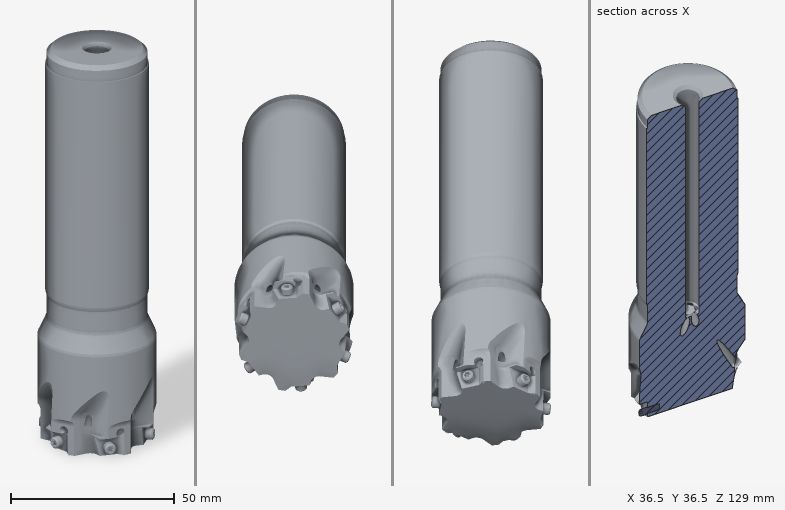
import cadquery as cq
import math

total_length = 129.0
tooth_count = 6
first_tooth_angle = 45.0

head_diameter = 36.5
head_radius = head_diameter / 2
shank_radius = 15.9
neck_radius = 15.5
top_radius = 14.0
top_chamfer_height = 1.3
end_land_height = 4.9
cone_base_height = 34.4
cone_top_height = 40.6
neck_top_height = 47.8
shank_base_height = 49.3
shank_base_step = 0.1
neck_taper_height = 48.6
cone_blend_radius = 2.0

bore_radius = 3.6
bore_mouth_radius = 4.6
bore_floor_height = 37.4

channel_radius = 1.2
channel_start_radius = 1.9
channel_exit_radius = 15.1
channel_exit_height = 9.8
channel_angle = -26.0

flute_floor_angle = -52.0
flute_floor_distance = 12.5
flute_wall_angle = 12.0
flute_wall_distance = 10.8
flute_fold_height = 13.5
flute_floor_tilt = 2.6
flute_wall_slope = 57.5
flute_fold_radius = 4.5
flute_root_radius = 3.9

gullet_height = 7.2
gullet_floor_angle = -70.0
gullet_floor_distance = 10.3
gullet_floor_tilt = 14.0
gullet_root_radius = 2.6

land_angle = 14.0
land_distance = 17.3
land_height = 12.5
land_fillet = 2.6
land_half_width = 7.7

base_height = 0.4
tip_distance = 16.3
tip_offset = 3.9
tip_radius = 0.1

seat_distance = 15.5
seat_height = 6.8
seat_width = 2.0
seat_step_slope = 56.0
seat_lead = 7.7
corner_relief_radius = 1.4
corner_relief_offset = 2.6
corner_relief_height = 8.0

screw_height = 3.2
screw_offset = -0.8
screw_head_radius = 1.8
screw_tip_radius = 18.2
screw_shank_radius = 1.2
screw_shank_length = 3.9
screw_edge_chamfer = 0.4
socket_radius = 0.8
socket_lobe_radius = 0.32
socket_depth = 1.0
socket_lobe_count = 6

clearance = 1.3
reach = 51.6


def facing_frame(angle, distance, height=0.0):
    """Plane whose normal points radially at the angle; local x runs along the rim, local y up."""
    a = math.radians(angle)
    normal = (math.cos(a), math.sin(a), 0)
    rim_direction = (-math.sin(a), math.cos(a), 0)
    origin = (distance * normal[0], distance * normal[1], height)
    return cq.Plane(origin=origin, xDir=rim_direction, normal=normal)


def turned_body():
    end_land_base = total_length - end_land_height
    chamfer_base = total_length - top_chamfer_height
    blank = (
        cq.Workplane("XZ")
        .moveTo(0, base_height)
        .lineTo(head_radius, base_height)
        .lineTo(head_radius, cone_base_height)
        .lineTo(neck_radius, cone_top_height)
        .lineTo(neck_radius, neck_top_height)
        .lineTo(shank_radius - shank_base_step, neck_taper_height)
        .lineTo(shank_radius, shank_base_height)
        .lineTo(shank_radius, end_land_base)
        .lineTo(neck_radius, end_land_base)
        .lineTo(neck_radius, chamfer_base)
        .lineTo(top_radius, total_length)
        .lineTo(0, total_length)
        .close()
        .revolve(360, (0, 0, 0), (0, 1, 0))
    )
    blend_zone = cq.selectors.BoxSelector(
        (-reach, -reach, cone_base_height - clearance),
        (reach, reach, cone_top_height + clearance),
    )
    return blank.edges("%CIRCLE").edges(blend_zone).fillet(cone_blend_radius)


def coolant_bore():
    mouth_depth = bore_mouth_radius - bore_radius
    return (
        cq.Workplane("XZ")
        .moveTo(0, bore_floor_height)
        .lineTo(bore_radius, bore_floor_height)
        .lineTo(bore_radius, total_length - mouth_depth)
        .lineTo(bore_mouth_radius, total_length)
        .lineTo(0, total_length)
        .close()
        .revolve(360, (0, 0, 0), (0, 1, 0))
    )


def coolant_channel():
    a = math.radians(channel_angle)
    outward = channel_exit_radius - channel_start_radius
    drop = channel_exit_height - bore_floor_height
    outward_direction = cq.Vector(math.cos(a), math.sin(a), 0)
    start = outward_direction * channel_start_radius + cq.Vector(0, 0, bore_floor_height)
    run = outward_direction * outward + cq.Vector(0, 0, drop)
    return cq.Workplane(cq.Solid.makeCylinder(channel_radius, run.Length, start, run))


def notch(wall_profile, fold_points, floor_frame, root_radius):
    """V-shaped void: a prism under the wall profile, kept only on the open side of the floor plane.

    The profile lies in the radial plane of the wall: x outward, y up.
    """
    a = math.radians(flute_wall_angle)
    wall_frame = cq.Plane(
        origin=(0, 0, 0),
        xDir=(math.cos(a), math.sin(a), 0),
        normal=(math.sin(a), -math.cos(a), 0),
    )
    wall_side = cq.Workplane(wall_frame).polyline(wall_profile).close().extrude(reach, both=True)
    for x, y in fold_points:
        fold = wall_frame.toWorldCoords((x, y, 0))
        wall_side = wall_side.edges(cq.NearestToPointSelector(fold.toTuple())).fillet(flute_fold_radius)
    floor_side = cq.Workplane(floor_frame).rect(4 * reach, 4 * reach).extrude(2 * reach)
    wedge = wall_side.intersect(floor_side)
    floor_face = cq.selectors.DirectionMinMaxSelector(floor_frame.zDir, False)
    wall_edge = cq.selectors.DirectionMinMaxSelector(cq.Vector(math.cos(a), math.sin(a), 0), False)
    return wedge.faces(floor_face).edges(wall_edge).fillet(root_radius)


def flute():
    outer = 2 * head_radius
    wall_run = outer - flute_wall_distance
    wall_top = flute_fold_height + wall_run * math.tan(math.radians(flute_wall_slope))
    fold = (flute_wall_distance, flute_fold_height)
    profile = [(flute_wall_distance, gullet_height), fold, (outer, wall_top), (outer, gullet_height)]
    frame = facing_frame(flute_floor_angle, flute_floor_distance, flute_fold_height)
    return notch(profile, [fold], frame.rotated((-flute_floor_tilt, 0, 0)), flute_root_radius)


def gullet():
    outer = 2 * head_radius
    profile = [
        (flute_wall_distance, -clearance),
        (flute_wall_distance, gullet_height),
        (outer, gullet_height),
        (outer, -clearance),
    ]
    frame = facing_frame(gullet_floor_angle, gullet_floor_distance, gullet_height)
    return notch(profile, [], frame.rotated((gullet_floor_tilt, 0, 0)), gullet_root_radius)


def land_flat():
    frame = facing_frame(land_angle, land_distance)
    block = (
        cq.Workplane(frame)
        .center(0, (land_height - clearance) / 2)
        .rect(2 * land_half_width, land_height + clearance)
        .extrude(reach)
    )
    inner_face = cq.selectors.DirectionMinMaxSelector(frame.zDir, False)
    return block.faces(inner_face).edges(">Z").fillet(land_fillet)


def tooth_tip():
    """Small point below each tooth at the foot of the land."""
    return (
        cq.Workplane("XY")
        .center(tip_distance, tip_offset)
        .circle(tip_radius)
        .extrude(base_height + clearance)
    )


def insert_seat():
    """Flat seat closed on one side by a sloping step up to the land."""
    step_rise = head_radius + clearance - seat_distance
    step_top = seat_width + step_rise * math.tan(math.radians(seat_step_slope))
    return (
        cq.Workplane("XY", origin=(0, 0, -clearance))
        .moveTo(seat_distance, -seat_lead)
        .lineTo(seat_distance, seat_width)
        .lineTo(seat_distance + step_rise, step_top)
        .lineTo(seat_distance + step_rise, -seat_lead)
        .close()
        .extrude(seat_height + clearance)
    )


def corner_relief():
    return (
        cq.Workplane(facing_frame(0, seat_distance))
        .center(corner_relief_offset, corner_relief_height)
        .circle(corner_relief_radius)
        .extrude(reach)
    )


def screw_shank():
    """Shank of a screw, also used to cut its hole."""
    return (
        cq.Workplane(facing_frame(0, seat_distance, screw_height))
        .center(screw_offset, 0)
        .circle(screw_shank_radius)
        .extrude(-screw_shank_length)
    )


def around(shape):
    """Copies of a single-tooth shape at every tooth."""
    pitch = 360 / tooth_count
    return [
        shape.rotate((0, 0, 0), (0, 0, 1), first_tooth_angle + i * pitch)
        for i in range(tooth_count)
    ]


def cutter_body():
    body = turned_body().cut(coolant_bore())
    tooth_cuts = (flute, gullet, land_flat, insert_seat, corner_relief, screw_shank, coolant_channel)
    for make_cut in tooth_cuts:
        for cut_shape in around(make_cut()):
            body = body.cut(cut_shape)
    for tip in around(tooth_tip()):
        body = body.union(tip)
    return body


def clamping_screw():
    """Screw seated at one tooth: cylindrical head with a six-lobed socket, shank in the body."""
    head = (
        cq.Workplane(facing_frame(0, seat_distance, screw_height))
        .center(screw_offset, 0)
        .circle(screw_head_radius)
        .extrude(screw_tip_radius - seat_distance)
    )
    head = head.edges("%CIRCLE").chamfer(screw_edge_chamfer)
    top_frame = facing_frame(0, screw_tip_radius, screw_height)
    socket = cq.Workplane(top_frame).center(screw_offset, 0).circle(socket_radius).extrude(-socket_depth)
    lobes = (
        cq.Workplane(top_frame)
        .center(screw_offset, 0)
        .polarArray(socket_radius, 0, 360, socket_lobe_count)
        .circle(socket_lobe_radius)
        .extrude(-socket_depth)
    )
    return head.union(screw_shank()).cut(socket).cut(lobes)


cutter = cutter_body()
screws = around(clamping_screw())

result = cq.Compound.makeCompound([cutter.solids().val(), *[screw.solids().val() for screw in screws]])